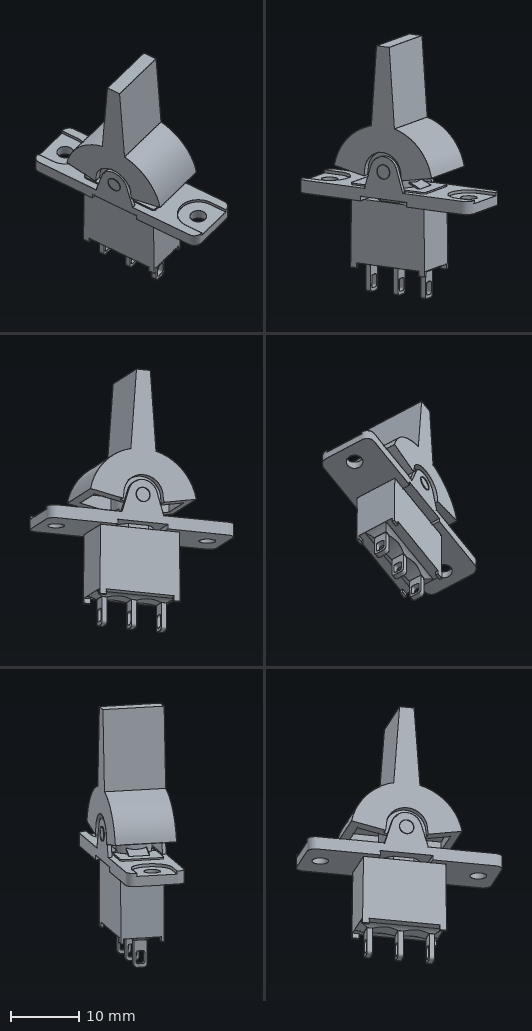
import cadquery as cq
import math


bracket_length = 29.36
bracket_width = 8.82
bracket_thickness = 1.97
bracket_corner_radius = 1.27
mount_hole_diameter = 2.39
mount_hole_spacing = 23.8
seat_radius = 3.04
seat_depth = 0.45
relief_length = 7.9
relief_height = 0.7

pivot_height = 4.81
ear_thickness = 0.6
ear_tip_radius = 2.28
ear_foot_half_length = 3.28
pin_diameter = 2.15
pin_protrusion = 0.12

rocker_width = 9.27
rocker_radius = 8.48
rocker_apex_height = 3.28
rocker_skirt_angle = 10.7
lever_top = 23.64
lever_top_thickness = 2.2
lever_root_thickness = 3.98
ear_pocket_radius = 3.1
ear_pocket_center_height = 4.66
ear_pocket_mouth_half_length = 3.3
ear_pocket_floor_width = 7.28
cavity_length = 14.0
cavity_width = 5.7
cavity_top = 6.0

bushing_radius = 3.14
bushing_neck_radius = 3.04
bushing_flat_width = 5.44
bushing_top = 5.5

washer_length = 12.7
washer_width = 6.57
washer_thickness = 0.24
washer_corner_radius = 0.5
tongue_width = 3.1
tongue_root_x = 4.5
tongue_angle = 24.5
tongue_end_x = 2.4
tongue_thickness = 0.23
side_lip_reach = 0.4

body_top_length = 12.4
body_bottom_length = 12.7
body_width = 6.57
body_depth = 10.43
leg_height = 0.75
leg_length = 1.03
leg_thickness = 0.41

terminal_pitch = 4.68
terminal_thickness = 0.82
terminal_width = 2.0
terminal_bottom = -14.35
terminal_corner_radius = 0.5
eyelet_width = 1.3
eyelet_bottom = -13.8
eyelet_top = -11.87
eyelet_corner_radius = 0.33
seal_depth = 0.57
seal_margin = 0.05
seal_reach_x = 1.2
seal_reach_y = 0.83
seal_sag = 0.07
seal_web_depth = 0.3

washer_top = bracket_thickness + washer_thickness
body_floor = leg_height - body_depth


def box_between(length, width, bottom, top):
    """Box centred on the Z axis, spanning bottom to top."""
    return cq.Workplane("XY").workplane(offset=bottom).rect(length, width).extrude(top - bottom)


def extrude_along_y(profile, width):
    """Extrude an XZ profile symmetrically about Y = 0."""
    return profile.extrude(width / 2, both=True)


def make_bracket():
    bracket = box_between(bracket_length, bracket_width, 0, bracket_thickness)
    bracket = bracket.edges("|Z").fillet(bracket_corner_radius)
    for side in (-1, 1):
        hole_x = side * mount_hole_spacing / 2
        seat_floor = bracket_thickness - seat_depth
        seat = cq.Workplane("XY").workplane(offset=seat_floor).center(hole_x, 0)
        seat_end_length = bracket_length / 2 - mount_hole_spacing / 2
        round_end = seat.circle(seat_radius).extrude(seat_depth)
        open_end = seat.center(side * seat_end_length / 2, 0)
        open_end = open_end.rect(seat_end_length, 2 * seat_radius).extrude(seat_depth)
        hole = cq.Workplane("XY").center(hole_x, 0).circle(mount_hole_diameter / 2)
        bracket = bracket.cut(round_end).cut(open_end).cut(hole.extrude(bracket_thickness))
    return bracket.cut(box_between(relief_length, bracket_width, 0, relief_height))


def make_ears():
    """Two upright ears whose straight flanks are tangent to the round tip."""
    drop = pivot_height - bracket_thickness
    foot_distance = math.hypot(ear_foot_half_length, drop)
    foot_angle = math.atan2(-drop, ear_foot_half_length)
    tangent_angle = foot_angle + math.acos(ear_tip_radius / foot_distance)
    tangent_x = ear_tip_radius * math.cos(tangent_angle)
    tangent_z = pivot_height + ear_tip_radius * math.sin(tangent_angle)
    profile = (
        cq.Workplane("XZ")
        .moveTo(-ear_foot_half_length, bracket_thickness)
        .lineTo(ear_foot_half_length, bracket_thickness)
        .lineTo(tangent_x, tangent_z)
        .threePointArc((0, pivot_height + ear_tip_radius), (-tangent_x, tangent_z))
        .close()
    )
    ears = extrude_along_y(profile, bracket_width)
    gap = box_between(2 * ear_foot_half_length, bracket_width - 2 * ear_thickness, 0, lever_top)
    return ears.cut(gap)


def make_pin():
    profile = cq.Workplane("XZ").center(0, pivot_height).circle(pin_diameter / 2)
    return extrude_along_y(profile, bracket_width + 2 * pin_protrusion)


def make_rocker():
    """Sector-shaped hub carrying a tapered lever."""
    skirt = math.radians(rocker_skirt_angle)
    skirt_x = rocker_radius * math.cos(skirt)
    skirt_z = rocker_apex_height + rocker_radius * math.sin(skirt)
    sector = (
        cq.Workplane("XZ")
        .moveTo(0, rocker_apex_height)
        .lineTo(skirt_x, skirt_z)
        .threePointArc((0, rocker_apex_height + rocker_radius), (-skirt_x, skirt_z))
        .close()
    )
    root_x = lever_root_thickness / 2
    root_z = rocker_apex_height + math.sqrt(rocker_radius**2 - root_x**2)
    lever = cq.Workplane("XZ").polyline(
        [
            (0, rocker_apex_height),
            (root_x, root_z),
            (lever_top_thickness / 2, lever_top),
            (-lever_top_thickness / 2, lever_top),
            (-root_x, root_z),
        ]
    ).close()
    rocker = extrude_along_y(sector, rocker_width).union(extrude_along_y(lever, rocker_width))
    rocker = rocker.cut(make_ear_pockets())
    return rocker.cut(box_between(cavity_length, cavity_width, 0, cavity_top))


def make_ear_pockets():
    """Arched recesses, slightly flared at the mouth, that clear the bracket ears."""
    profile = (
        cq.Workplane("XZ")
        .moveTo(-ear_pocket_mouth_half_length, rocker_apex_height)
        .lineTo(ear_pocket_mouth_half_length, rocker_apex_height)
        .lineTo(ear_pocket_radius, ear_pocket_center_height)
        .threePointArc(
            (0, ear_pocket_center_height + ear_pocket_radius),
            (-ear_pocket_radius, ear_pocket_center_height),
        )
        .close()
    )
    pockets = extrude_along_y(profile, rocker_width)
    return pockets.cut(box_between(cavity_length, ear_pocket_floor_width, 0, lever_top))


def make_bushing():
    """Round bushing, a little slimmer above the washer, with two flats facing +Y and -Y."""
    base = cq.Workplane("XY").circle(bushing_radius).extrude(washer_top)
    bushing = base.union(cq.Workplane("XY").circle(bushing_neck_radius).extrude(bushing_top))
    return bushing.intersect(box_between(2 * bushing_radius, bushing_flat_width, 0, bushing_top))


def make_washer():
    """Thin plate with a bent tongue at each end and a small lip along each bushing flat."""
    washer = box_between(washer_length, washer_width, bracket_thickness, washer_top)
    washer = washer.edges("|Z").fillet(washer_corner_radius)
    slope = math.radians(tongue_angle)
    end_z = washer_top + (tongue_root_x - tongue_end_x) * math.tan(slope)
    root_length = tongue_thickness / math.sin(slope)
    end_height = tongue_thickness / math.cos(slope)
    flat_y = bushing_flat_width / 2
    for side in (-1, 1):
        tongue = cq.Workplane("XZ").polyline(
            [
                (side * tongue_root_x, washer_top),
                (side * tongue_end_x, end_z),
                (side * tongue_end_x, end_z - end_height),
                (side * (tongue_root_x - root_length), washer_top),
            ]
        ).close()
        lip = cq.Workplane("YZ").polyline(
            [
                (0, washer_top),
                (side * (flat_y + side_lip_reach), washer_top),
                (side * flat_y, washer_top + side_lip_reach),
                (0, washer_top + side_lip_reach),
            ]
        ).close()
        washer = washer.union(extrude_along_y(tongue, tongue_width))
        washer = washer.union(lip.extrude(tongue_width / 2, both=True))
    return washer


def make_body():
    """Slightly tapered housing standing on four corner legs."""
    profile = cq.Workplane("XZ").polyline(
        [
            (-body_top_length / 2, 0),
            (body_top_length / 2, 0),
            (body_bottom_length / 2, -body_depth),
            (-body_bottom_length / 2, -body_depth),
        ]
    ).close()
    body = extrude_along_y(profile, body_width)
    gap_length = body_bottom_length - 2 * leg_length
    gap_width = body_width - 2 * leg_thickness
    body = body.cut(box_between(gap_length, body_width, -body_depth, body_floor))
    return body.cut(box_between(body_bottom_length, gap_width, -body_depth, body_floor))


def make_flare(plane, blade_size, reach, length):
    """Concave-sided prism that narrows downwards from the body floor to a terminal blade."""
    tip = blade_size / 2 + seal_margin
    base = blade_size / 2 + reach
    tip_z = body_floor - seal_depth
    chord_length = math.hypot(base - tip, seal_depth)
    middle = (base + tip) / 2 - seal_sag * seal_depth / chord_length
    middle_z = body_floor - seal_depth / 2 + seal_sag * (base - tip) / chord_length
    profile = (
        cq.Workplane(plane)
        .moveTo(-base, body_floor)
        .lineTo(base, body_floor)
        .threePointArc((middle, middle_z), (tip, tip_z))
        .lineTo(-tip, tip_z)
        .threePointArc((-middle, middle_z), (-base, body_floor))
        .close()
    )
    return profile.extrude(length / 2, both=True)


def make_seal_arch():
    """Shallow arched cutter that spans the gap between two neighbouring terminals."""
    half_span = terminal_pitch / 2 - terminal_thickness / 2 - seal_margin
    spring_z = body_floor - seal_depth
    crown_z = body_floor - seal_web_depth
    profile = (
        cq.Workplane("XZ")
        .moveTo(-half_span, spring_z)
        .threePointArc((0, crown_z), (half_span, spring_z))
        .close()
    )
    return extrude_along_y(profile, body_width)


def make_seal():
    """Sealing compound: a ridge arched between the terminals, flared around the outer ones."""
    seal = make_flare("YZ", terminal_width, seal_reach_y, 2 * terminal_pitch)
    collar = make_flare("XZ", terminal_thickness, seal_reach_x, body_width)
    collar = collar.intersect(make_flare("YZ", terminal_width, seal_reach_y, body_bottom_length))
    arch = make_seal_arch()
    for side in (-1, 1):
        seal = seal.cut(arch.translate((side * terminal_pitch / 2, 0, 0)))
        seal = seal.union(collar.translate((side * terminal_pitch, 0, 0)))
    return seal


def make_terminal(x):
    blade_height = body_floor - terminal_bottom
    blade = cq.Workplane("XY").box(terminal_thickness, terminal_width, blade_height)
    blade = blade.translate((x, 0, terminal_bottom + blade_height / 2))
    blade = blade.edges("|X and <Z").fillet(terminal_corner_radius)
    eyelet_height = eyelet_top - eyelet_bottom
    eyelet = cq.Workplane("XY").box(terminal_thickness, eyelet_width, eyelet_height)
    eyelet = eyelet.edges("|X").fillet(eyelet_corner_radius)
    return blade.cut(eyelet.translate((x, 0, eyelet_bottom + eyelet_height / 2)))


result = make_bracket().union(make_body()).union(make_bushing()).union(make_washer())
result = result.union(make_ears()).union(make_seal())
for position in (-1, 0, 1):
    result = result.union(make_terminal(position * terminal_pitch))
result = result.union(make_rocker()).union(make_pin())